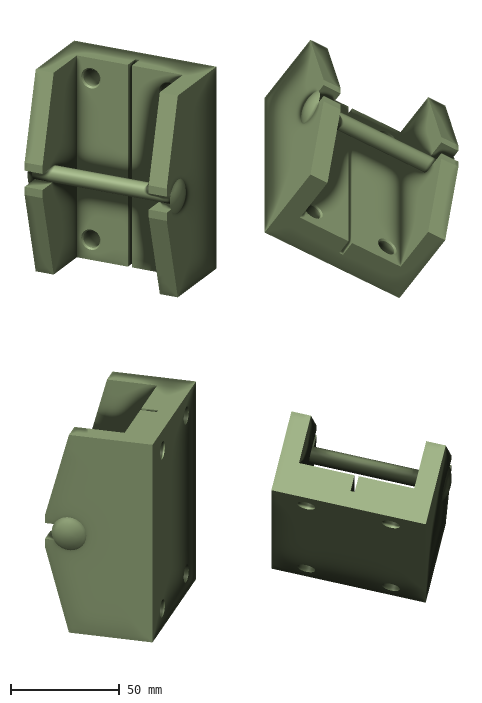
import cadquery as cq

bracket_width = 73.0
bracket_height = 100.0
channel_width = 54.5
back_thickness = 16.0

cheek_depth_ends = 40.0
cheek_depth_lip = 51.5
lip_height = 16.0

groove_width = 2.0
groove_depth = 8.0

hole_diameter = 8.5
hole_chamfer = 0.75
hole_spacing_x = 40.0
hole_spacing_z = 80.0

pin_diameter = 8.0
head_diameter = 16.6
head_height = 2.35

back_y = cheek_depth_ends
channel_floor_y = back_y - back_thickness
end_y = back_y - cheek_depth_ends
lip_y = back_y - cheek_depth_lip
half_height = bracket_height / 2
half_lip = lip_height / 2
half_width = bracket_width / 2


def block(size_x, y_min, y_max, size_z):
    """Box centred on X and Z that spans y_min to y_max."""
    return cq.Workplane("XY").box(size_x, y_max - y_min, size_z).translate((0, (y_min + y_max) / 2, 0))


def x_cylinder(diameter, length):
    """Cylinder centred on the origin with its axis along X."""
    return cq.Workplane("YZ").circle(diameter / 2).extrude(length / 2, both=True)


def make_mounting_holes():
    """Four cutters along Y, chamfered where they meet the channel floor."""
    radius = hole_diameter / 2
    profile = [
        (0, channel_floor_y),
        (radius + hole_chamfer, channel_floor_y),
        (radius, channel_floor_y + hole_chamfer),
        (radius, back_y),
        (0, back_y),
    ]
    cutter = cq.Workplane("XY").polyline(profile).close().revolve(360, (0, 0, 0), (0, 1, 0))
    centres = [
        (x, 0, z)
        for x in (-hole_spacing_x / 2, hole_spacing_x / 2)
        for z in (-hole_spacing_z / 2, hole_spacing_z / 2)
    ]
    return [cutter.translate(centre) for centre in centres]


def make_bracket():
    side_outline = [
        (back_y, -half_height),
        (end_y, -half_height),
        (lip_y, -half_lip),
        (lip_y, half_lip),
        (end_y, half_height),
        (back_y, half_height),
    ]
    body = cq.Workplane("YZ").polyline(side_outline).close().extrude(half_width, both=True)
    body = body.cut(block(channel_width, lip_y, channel_floor_y, bracket_height))
    body = body.cut(block(groove_width, channel_floor_y, channel_floor_y + groove_depth, bracket_height))

    body = body.cut(x_cylinder(pin_diameter, bracket_width))
    body = body.cut(block(bracket_width, lip_y, 0, pin_diameter))

    for hole in make_mounting_holes():
        body = body.cut(hole)
    return body


def make_pin():
    head_radius = head_diameter / 2
    rod_radius = pin_diameter / 2
    tip_x = half_width + head_height

    dome_radius = (head_radius**2 + head_height**2) / (2 * head_height)
    dome_centre_x = tip_x - dome_radius
    mid_x = half_width + head_height / 2
    mid_radius = (dome_radius**2 - (mid_x - dome_centre_x) ** 2) ** 0.5

    half_profile = (
        cq.Workplane("XY")
        .moveTo(-tip_x, 0)
        .threePointArc((-mid_x, mid_radius), (-half_width, head_radius))
        .lineTo(-half_width, rod_radius)
        .lineTo(half_width, rod_radius)
        .lineTo(half_width, head_radius)
        .threePointArc((mid_x, mid_radius), (tip_x, 0))
        .close()
    )
    return half_profile.revolve(360, (0, 0, 0), (1, 0, 0))


bracket = make_bracket()
pin = make_pin()

result = cq.Compound.makeCompound([bracket.val(), pin.val()])